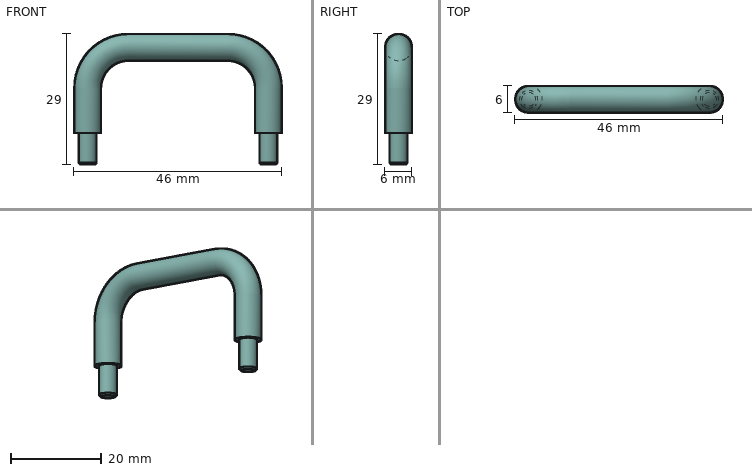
import cadquery as cq
import math

overall_length = 46.0
bar_diameter = 6.0
bend_radius = 9.0
leg_length = 10.0
stud_diameter = 4.0
stud_length = 7.0
stud_chamfer = 0.45

leg_x = (overall_length - bar_diameter) / 2
grip_z = leg_length + bend_radius
bend_start_x = leg_x - bend_radius
bend_mid_offset = bend_radius * math.sin(math.radians(45))
bend_mid_x = bend_start_x + bend_mid_offset
bend_mid_z = leg_length + bend_mid_offset


def make_handle():
    """Round bar swept up one leg, across the grip and down the other leg."""
    path = (
        cq.Workplane("XZ")
        .moveTo(-leg_x, 0)
        .lineTo(-leg_x, leg_length)
        .threePointArc((-bend_mid_x, bend_mid_z), (-bend_start_x, grip_z))
        .lineTo(bend_start_x, grip_z)
        .threePointArc((bend_mid_x, bend_mid_z), (leg_x, leg_length))
        .lineTo(leg_x, 0)
    )
    return cq.Workplane("XY").center(-leg_x, 0).circle(bar_diameter / 2).sweep(path)


def make_stud(x):
    """Thinner mounting stud below a leg, chamfered at its tip."""
    return (
        cq.Workplane("XY")
        .center(x, 0)
        .circle(stud_diameter / 2)
        .extrude(-stud_length)
        .faces("<Z")
        .chamfer(stud_chamfer)
    )


result = make_handle()
for stud_x in (-leg_x, leg_x):
    result = result.union(make_stud(stud_x))